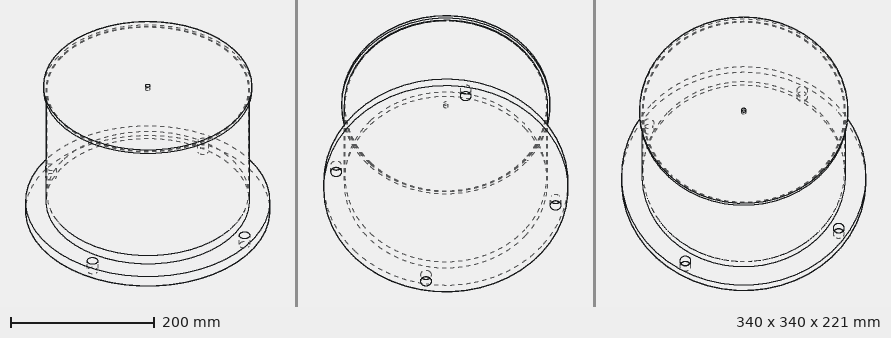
import cadquery as cq

total_height = 221.0
flange_diameter = 340.0
flange_thickness = 17.0
body_diameter = 283.0
cavity_diameter = 280.0
cavity_floor_height = 30.5
cap_diameter = 290.0
cap_thickness = 6.0
body_height = total_height - flange_thickness - cap_thickness

bolt_hole_diameter = 15.0
bolt_circle_diameter = 310.0
bolt_count = 4
center_hole_diameter = 6.5


def disc(diameter, thickness, base_z):
    """Solid disc on the Z axis with its underside at base_z."""
    return cq.Workplane("XY").workplane(offset=base_z).circle(diameter / 2).extrude(thickness)


flange = (
    disc(flange_diameter, flange_thickness, 0)
    .faces(">Z")
    .workplane()
    .polarArray(bolt_circle_diameter / 2, 0, 360, bolt_count)
    .hole(bolt_hole_diameter)
)

body = disc(body_diameter, body_height, flange_thickness)
cap = disc(cap_diameter, cap_thickness, total_height - cap_thickness)

cavity_height = total_height - cap_thickness - cavity_floor_height
cavity = disc(cavity_diameter, cavity_height, cavity_floor_height)

center_hole = disc(center_hole_diameter, cap_thickness, total_height - cap_thickness)

result = flange.union(body).union(cap).cut(cavity).cut(center_hole)